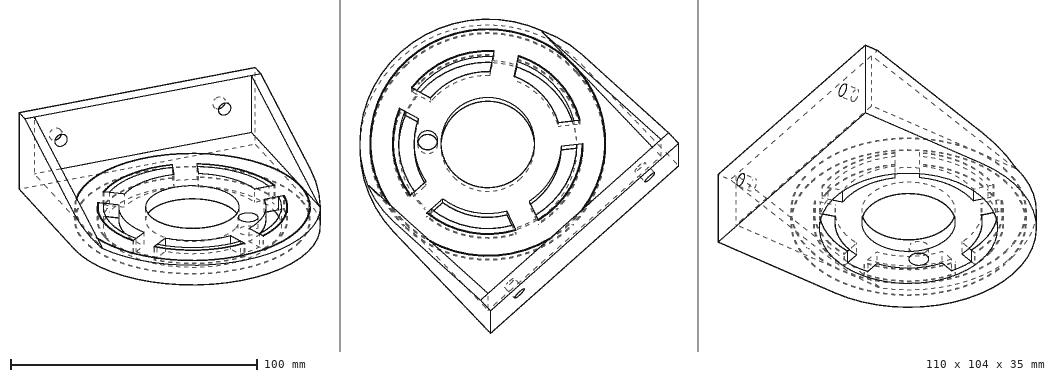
import cadquery as cq
import math

LENGTH = 110.0
WIDTH = 104.0
HEIGHT = 35.0
NOSE_RADIUS = WIDTH / 2
BACK_X = NOSE_RADIUS - LENGTH
PLATE_THICKNESS = 9.0
BACK_WALL_THICKNESS = 6.0
SIDE_WALL_THICKNESS = 4.2
SLOPE_LENGTH = 71.4

SCREW_HOLE_DIAMETER = 5.4
SCREW_HOLE_SPACING = 72.0
SCREW_HOLE_HEIGHT = 22.0

DISC_DIAMETER = 95.0
DISC_THICKNESS = 6.0
DISC_BOTTOM = PLATE_THICKNESS - DISC_THICKNESS
BORE_DIAMETER = 38.0
HUB_RADIUS = 29.9
RIM_INNER_RADIUS = 38.7
SPOKE_COUNT = 5
SPOKE_WIDTH = 10.0
FINGER_HOLE_DIAMETER = 8.0
FINGER_HOLE_ANGLE = 45
FINGER_HOLE_RADIUS = (BORE_DIAMETER / 2 + HUB_RADIUS) / 2

GROOVE_DIAMETER = 95.8
RIM_CLEARANCE = (GROOVE_DIAMETER - DISC_DIAMETER) / 2
RAIL_OUTER_RADIUS = RIM_INNER_RADIUS - RIM_CLEARANCE
RAIL_INNER_RADIUS = 36.2


def cylinder(radius, bottom, height):
    """Solid cylinder about the Z axis."""
    return cq.Workplane("XY").workplane(offset=bottom).circle(radius).extrude(height)


def ring(outer_radius, inner_radius, bottom, height):
    """Flat ring about the Z axis."""
    return cq.Workplane("XY").workplane(offset=bottom).circle(outer_radius).circle(inner_radius).extrude(height)


def make_spokes():
    """Spokes from the disc axis to the middle of the rim, the first along +Y."""
    length = (RIM_INNER_RADIUS + DISC_DIAMETER / 2) / 2
    spoke = (
        cq.Workplane("XY")
        .workplane(offset=DISC_BOTTOM)
        .center(0, length / 2)
        .rect(SPOKE_WIDTH, length)
        .extrude(DISC_THICKNESS)
    )
    spokes = spoke
    for index in range(1, SPOKE_COUNT):
        spokes = spokes.union(spoke.rotate((0, 0, 0), (0, 0, 1), index * 360 / SPOKE_COUNT))
    return spokes


def make_disc():
    """Hub, spokes and rim, with a central bore and a finger hole."""
    rim = ring(DISC_DIAMETER / 2, RIM_INNER_RADIUS, DISC_BOTTOM, DISC_THICKNESS)
    hub = cylinder(HUB_RADIUS, DISC_BOTTOM, DISC_THICKNESS)
    bore = cylinder(BORE_DIAMETER / 2, DISC_BOTTOM, DISC_THICKNESS)
    angle = math.radians(FINGER_HOLE_ANGLE)
    finger_hole = cylinder(FINGER_HOLE_DIAMETER / 2, DISC_BOTTOM, DISC_THICKNESS).translate(
        (FINGER_HOLE_RADIUS * math.cos(angle), FINGER_HOLE_RADIUS * math.sin(angle), 0)
    )
    return rim.union(hub).union(make_spokes()).cut(bore).cut(finger_hole)


def make_bracket_blank():
    """Rounded footprint trimmed to the sloping side profile."""
    footprint = (
        cq.Workplane("XY")
        .moveTo(BACK_X, -NOSE_RADIUS)
        .lineTo(0, -NOSE_RADIUS)
        .threePointArc((NOSE_RADIUS, 0), (0, NOSE_RADIUS))
        .lineTo(BACK_X, NOSE_RADIUS)
        .close()
        .extrude(HEIGHT)
    )
    slope_start = BACK_X + BACK_WALL_THICKNESS
    side_profile = (
        cq.Workplane("XZ")
        .moveTo(BACK_X, 0)
        .lineTo(NOSE_RADIUS, 0)
        .lineTo(NOSE_RADIUS, PLATE_THICKNESS)
        .lineTo(slope_start + SLOPE_LENGTH, PLATE_THICKNESS)
        .lineTo(slope_start, HEIGHT)
        .lineTo(BACK_X, HEIGHT)
        .close()
        .extrude(WIDTH / 2, both=True)
    )
    return footprint.intersect(side_profile)


def make_inner_space():
    """Open space above the plate, between the walls."""
    return (
        cq.Workplane("XY")
        .box(LENGTH, WIDTH - 2 * SIDE_WALL_THICKNESS, HEIGHT, centered=(False, True, False))
        .translate((BACK_X + BACK_WALL_THICKNESS, 0, PLATE_THICKNESS))
    )


def make_screw_holes():
    """Pair of holes through the back wall."""
    return (
        cq.Workplane("YZ")
        .workplane(offset=BACK_X)
        .pushPoints([(side * SCREW_HOLE_SPACING / 2, SCREW_HOLE_HEIGHT) for side in (-1, 1)])
        .circle(SCREW_HOLE_DIAMETER / 2)
        .extrude(BACK_WALL_THICKNESS)
    )


def make_bracket():
    """Bracket with the rim groove, the central opening and rail notches for the spokes."""
    groove = ring(GROOVE_DIAMETER / 2, RAIL_OUTER_RADIUS, DISC_BOTTOM, DISC_THICKNESS)
    opening = cylinder(RAIL_INNER_RADIUS, 0, PLATE_THICKNESS)
    bracket = make_bracket_blank().cut(make_inner_space()).cut(make_screw_holes())
    return bracket.cut(groove).cut(opening).cut(make_spokes())


bracket = make_bracket()
disc = make_disc()
result = cq.Compound.makeCompound([bracket.val(), disc.val()])